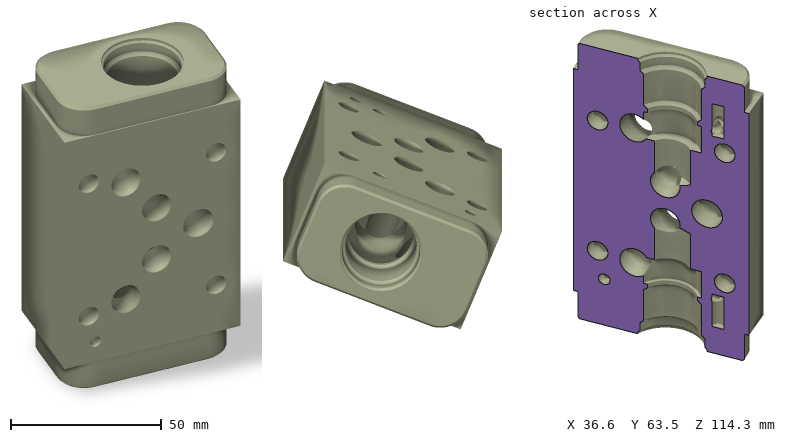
import cadquery as cq
import math

BLOCK_X = 36.6
BLOCK_Y = 63.5
BLOCK_Z = 92.1
TOTAL_Z = 114.3

CAP_X = 35.9
CAP_Y = 60.4
CAP_CORNER_RADIUS = 9.7
CAP_CHAMFER = 0.8

BORE_Y = 4.1
MOUTH_RADIUS = 13.0
MOUTH_CHAMFER = 0.7
RIM_DEPTH = 0.9
MOUTH_DEPTH = 4.9
CHAMBER_RADIUS = 11.9
CHAMBER_TOP_Z = 35.4
CHAMBER_FLOOR_Z = 24.7
LIP_RADIUS = 10.7
LIP_HEIGHT = 1.7
PILOT_RADIUS = 8.7
PILOT_END_Z = 10.3
DRILL_TIP_ANGLE = 118.0

BOLT_DIAMETER = 7.3
BOLT_Y = 23.0
BOLT_Z = 27.0
PRESSURE_DIAMETER = 11.0
PRESSURE_Y = 16.6
WORK_DIAMETER = 10.5
INNER_PORT_Y = 1.5
INNER_PORT_Z = 10.4
INNER_PORT_TILT = -11.5
OUTER_PORT_Y = -9.6
OUTER_PORT_Z = 23.8
OUTER_PORT_TILT = 18.3

SMALL_DIAMETER = 4.1
SMALL_Y = 20.6
SMALL_Z = 38.1
CONTROL_DIAMETER = 4.0
CONTROL_Y = 11.9
CONTROL_Z = 34.9
CONTROL_TILT = 35.0

HALF_X = BLOCK_X / 2
HALF_Z = TOTAL_Z / 2
RISER_X = -HALF_X + (SMALL_Y - CONTROL_Y) / math.tan(math.radians(CONTROL_TILT))


def drill(start, direction, length, diameter):
    """Plain cylinder running from start along direction."""
    cylinder = cq.Solid.makeCylinder(diameter / 2, length, cq.Vector(*start), cq.Vector(*direction))
    return cq.Workplane(obj=cylinder)


def through_hole(y, z, diameter):
    """Straight hole across the full thickness of the block."""
    return drill((-HALF_X, y, z), (1, 0, 0), BLOCK_X, diameter)


def bottom_copy(top_shape):
    """Mirror image of a top-end shape at the bottom end."""
    return top_shape.mirror("XY")


def end_cap():
    """Rounded cap from the middle of the block to the top end, chamfered round its rim."""
    return (
        cq.Workplane("XY")
        .rect(CAP_X, CAP_Y)
        .extrude(HALF_Z)
        .edges("|Z")
        .fillet(CAP_CORNER_RADIUS)
        .faces(">Z")
        .chamfer(CAP_CHAMFER)
    )


def cartridge_bore():
    """Revolved bore of the top end, from the open mouth down to its drill tip."""
    lip_top_z = CHAMBER_TOP_Z + LIP_HEIGHT
    mouth_floor_z = HALF_Z - MOUTH_DEPTH
    tip_height = PILOT_RADIUS / math.tan(math.radians(DRILL_TIP_ANGLE / 2))
    profile = [
        (0, HALF_Z),
        (MOUTH_RADIUS + MOUTH_CHAMFER, HALF_Z),
        (MOUTH_RADIUS + MOUTH_CHAMFER, HALF_Z - RIM_DEPTH),
        (MOUTH_RADIUS, HALF_Z - RIM_DEPTH - MOUTH_CHAMFER),
        (MOUTH_RADIUS, mouth_floor_z),
        (CHAMBER_RADIUS, mouth_floor_z - (MOUTH_RADIUS - CHAMBER_RADIUS)),
        (CHAMBER_RADIUS, lip_top_z + (CHAMBER_RADIUS - LIP_RADIUS)),
        (LIP_RADIUS, lip_top_z),
        (LIP_RADIUS, CHAMBER_TOP_Z),
        (CHAMBER_RADIUS, CHAMBER_TOP_Z),
        (CHAMBER_RADIUS, CHAMBER_FLOOR_Z),
        (PILOT_RADIUS, CHAMBER_FLOOR_Z),
        (PILOT_RADIUS, PILOT_END_Z),
        (0, PILOT_END_Z - tip_height),
    ]
    bore = cq.Workplane("XZ").polyline(profile).close().revolve(360, (0, 0), (0, 1))
    return bore.translate((0, BORE_Y, 0))


def tilted_port(y, z, tilt):
    """Pair of drillings, one from each X face, meeting at mid thickness; positive tilt rises inwards."""
    angle = math.radians(tilt)
    radius = WORK_DIAMETER / 2
    lead_in = WORK_DIAMETER
    length = lead_in + HALF_X / math.cos(angle) + radius * abs(math.tan(angle))
    direction = (math.cos(angle), 0, math.sin(angle))
    start = (-HALF_X - lead_in * direction[0], y, z - lead_in * direction[2])
    mid_plane_stop = cq.Workplane("XY").box(TOTAL_Z, TOTAL_Z, TOTAL_Z).translate((-TOTAL_Z / 2, 0, 0))
    drilling = drill(start, direction, length, WORK_DIAMETER).intersect(mid_plane_stop)
    return drilling.union(drilling.mirror("YZ"))


def control_passage():
    """Drilling slanted towards +Y that meets a riser ending under the cap."""
    angle = math.radians(CONTROL_TILT)
    direction = (math.cos(angle), math.sin(angle), 0)
    lead_in = CONTROL_DIAMETER
    length = lead_in + (SMALL_Y - CONTROL_Y) / direction[1]
    start = (-HALF_X - lead_in * direction[0], CONTROL_Y - lead_in * direction[1], CONTROL_Z)
    slanted = drill(start, direction, length, CONTROL_DIAMETER)
    riser_z = CONTROL_Z - CONTROL_DIAMETER / 2
    riser = drill((RISER_X, SMALL_Y, riser_z), (0, 0, 1), BLOCK_Z / 2 - riser_z, SMALL_DIAMETER)
    return slanted.union(riser)


cap = end_cap()
result = cq.Workplane("XY").box(BLOCK_X, BLOCK_Y, BLOCK_Z).union(cap).union(bottom_copy(cap))

for top_cut in (
    cartridge_bore(),
    tilted_port(INNER_PORT_Y, INNER_PORT_Z, INNER_PORT_TILT),
    tilted_port(OUTER_PORT_Y, OUTER_PORT_Z, OUTER_PORT_TILT),
    control_passage(),
):
    result = result.cut(top_cut).cut(bottom_copy(top_cut))

for side in (-1, 1):
    for end in (-1, 1):
        result = result.cut(through_hole(side * BOLT_Y, end * BOLT_Z, BOLT_DIAMETER))
result = result.cut(through_hole(PRESSURE_Y, 0, PRESSURE_DIAMETER))

result = result.cut(drill((-HALF_X, SMALL_Y, SMALL_Z), (1, 0, 0), RISER_X + HALF_X, SMALL_DIAMETER))
result = result.cut(through_hole(-SMALL_Y, -SMALL_Z, SMALL_DIAMETER))